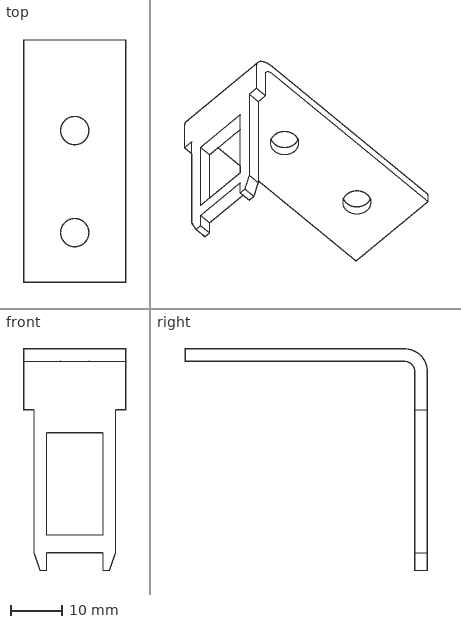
import cadquery as cq

width = 20.0
length = 47.5
height = 43.5
thickness = 2.5
inner_bend_radius = 2.0
outer_bend_radius = inner_bend_radius + thickness

hole_diameter = 5.5
hole_spacing = 20.0
first_hole_from_free_end = 9.75

shoulder_depth = 12.0
leg_width = 16.0

window_width = 11.0
window_height = 20.0
window_top_depth = 16.5

prong_length = 3.5
prong_taper = 1.2

leg_center_y = -thickness / 2


def bent_strip():
    """L-shaped sheet with a rounded bend, extruded across the full width."""
    outer = cq.Workplane("XY").box(width, length, height, centered=(True, False, False))
    outer = outer.translate((0, -length, -height))
    outer = outer.edges("|X and >Y and >Z").fillet(outer_bend_radius)
    inner = cq.Workplane("XY").box(width, length - thickness, height - thickness, centered=(True, False, False))
    inner = inner.translate((0, -length, -height))
    inner = inner.edges("|X and >Y and >Z").fillet(inner_bend_radius)
    return outer.cut(inner)


def leg_cutter(cut_width, cut_height, x_center, top_depth):
    """Block passing through the leg, with its top at the given depth."""
    block = cq.Workplane("XY").box(cut_width, 2 * thickness, cut_height)
    return block.translate((x_center, leg_center_y, -top_depth - cut_height / 2))


def side_notch(side):
    """Material removed beside the leg: shoulder step plus prong taper."""
    edge = side * width / 2
    leg_edge = side * leg_width / 2
    tip_edge = side * (leg_width / 2 - prong_taper)
    profile = [
        (edge, -shoulder_depth),
        (leg_edge, -shoulder_depth),
        (leg_edge, -height + prong_length),
        (tip_edge, -height),
        (edge, -height),
    ]
    notch = cq.Workplane("XZ").polyline(profile).close()
    return notch.extrude(thickness)


def plate_holes():
    """Mounting holes on the plate centreline."""
    first_y = -length + first_hole_from_free_end
    centers = [(0, first_y), (0, first_y + hole_spacing)]
    return cq.Workplane("XY").pushPoints(centers).circle(hole_diameter / 2).extrude(-thickness)


result = bent_strip()
for side in (-1, 1):
    result = result.cut(side_notch(side))
result = result.cut(leg_cutter(window_width, window_height, 0, window_top_depth))
result = result.cut(leg_cutter(window_width, prong_length, 0, height - prong_length))
result = result.cut(plate_holes())